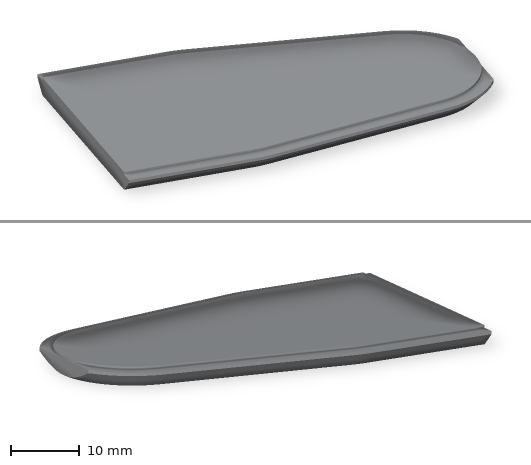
import cadquery as cq
import math

width = 37.0
length = 61.5
thickness = 2.9

face_width = 33.0
face_half_width = face_width / 2
straight_length = 20.0
nose_radius = 11.5
nose_y = length - nose_radius

rim_width = (width - face_width) / 2
bevel = rim_width
step_height = 0.4
rim_top = thickness - step_height

end_overrun = 6.15

taper_angle = math.asin((face_half_width - nose_radius) / (nose_y - straight_length))


def arc_point(centre_y, radius, angle):
    return (radius * math.cos(angle), centre_y + radius * math.sin(angle))


def mirrored(point):
    return (-point[0], point[1])


def tapered_plate(offset, base_z, height):
    """Plate in the shape of the raised face, grown outward by offset."""
    half_width = face_half_width + offset
    corner = (half_width, -end_overrun)
    bend_start = (half_width, straight_length)
    bend_middle = arc_point(straight_length, half_width, taper_angle / 2)
    bend_end = arc_point(straight_length, half_width, taper_angle)
    nose_start = arc_point(nose_y, nose_radius + offset, taper_angle)
    nose_tip = (0, length + offset)
    return (
        cq.Workplane("XY", origin=(0, 0, base_z))
        .moveTo(*corner)
        .lineTo(*bend_start)
        .threePointArc(bend_middle, bend_end)
        .lineTo(*nose_start)
        .threePointArc(nose_tip, mirrored(nose_start))
        .lineTo(*mirrored(bend_end))
        .threePointArc(mirrored(bend_middle), mirrored(bend_start))
        .lineTo(*mirrored(corner))
        .close()
        .extrude(height)
    )


rim_body = tapered_plate(rim_width, 0, rim_top).faces("<Z").edges().chamfer(bevel)

raised_face = tapered_plate(0, rim_top, step_height)

trim_box = cq.Workplane("XY").box(width, length, thickness, centered=(True, False, False))
result = rim_body.union(raised_face).intersect(trim_box)